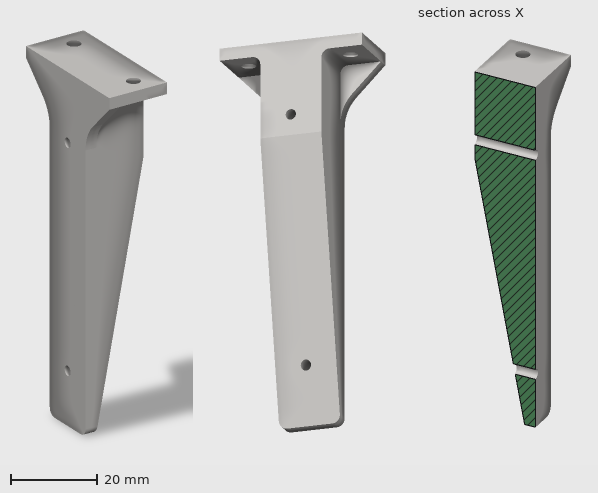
import cadquery as cq

width = 35.0
depth = 16.0
height = 90.0

wall = 3.0
stem_width = 15.0
flare_radius = 10.0
corner_radius = 2.0
full_depth_drop = 23.0

flange_hole_diameter = 3.5
flange_hole_spacing = 25.0
flange_hole_back_offset = 6.0
stem_hole_diameter = 2.5
stem_hole_drops = (18.0, 76.0)

half_width = width / 2
half_stem = stem_width / 2
flange_bottom = height - wall
flare_bottom = flange_bottom - (half_width - half_stem)


def make_flange():
    flange = cq.Workplane("XY", origin=(0, 0, flange_bottom))
    return flange.box(width, depth, wall, centered=(True, False, False))


def make_stem():
    """Full-depth block at the top, tapering at the back down to the wall thickness."""
    side_profile = [
        (0, 0),
        (wall, 0),
        (depth, height - full_depth_drop),
        (depth, height),
        (0, height),
    ]
    return cq.Workplane("YZ").polyline(side_profile).close().extrude(half_stem, both=True)


def make_front_plate():
    """Plate with 45 degree flares from the stem width out to the flange width."""
    right_side = [
        (half_stem, 0),
        (half_stem, flare_bottom),
        (half_width, flange_bottom),
        (half_width, height),
    ]
    left_side = [(-x, z) for x, z in reversed(right_side)]
    plate = cq.Workplane("XZ").polyline(right_side + left_side).close().extrude(-wall)
    selection_margin = 0.9
    flare_edges = cq.selectors.BoxSelector(
        (-width, -depth, flare_bottom - selection_margin), (width, depth, flare_bottom + selection_margin)
    )
    return plate.edges("|Y").edges(flare_edges).fillet(flare_radius)


def make_flange_blend(side):
    """Concave fillet under the flange along one side (-1 or 1) of the stem."""
    outer_x = side * (half_stem + corner_radius)
    blend = (
        cq.Workplane("XZ")
        .rect(corner_radius, corner_radius)
        .extrude(-depth)
        .translate((side * (half_stem + corner_radius / 2), 0, flange_bottom - corner_radius / 2))
    )
    hollow = (
        cq.Workplane("XZ")
        .center(outer_x, flange_bottom - corner_radius)
        .circle(corner_radius)
        .extrude(-depth)
    )
    return blend.cut(hollow)


bracket = make_stem().union(make_front_plate()).union(make_flange())
for side in (-1, 1):
    bracket = bracket.union(make_flange_blend(side))

rounded_envelope = (
    cq.Workplane("XY")
    .box(stem_width, depth, height, centered=(True, False, False))
    .edges("|Y and <Z")
    .fillet(corner_radius)
)
upper_envelope = (
    cq.Workplane("XY")
    .box(width, depth, height - corner_radius, centered=(True, False, False))
    .translate((0, 0, corner_radius))
)
bracket = bracket.intersect(rounded_envelope.union(upper_envelope))

flange_holes = (
    cq.Workplane("XY", origin=(0, depth - flange_hole_back_offset, flange_bottom))
    .pushPoints([(side * flange_hole_spacing / 2, 0) for side in (-1, 1)])
    .circle(flange_hole_diameter / 2)
    .extrude(wall)
)

stem_holes = (
    cq.Workplane("XZ")
    .pushPoints([(0, height - drop) for drop in stem_hole_drops])
    .circle(stem_hole_diameter / 2)
    .extrude(-depth)
)

result = bracket.cut(flange_holes).cut(stem_holes)